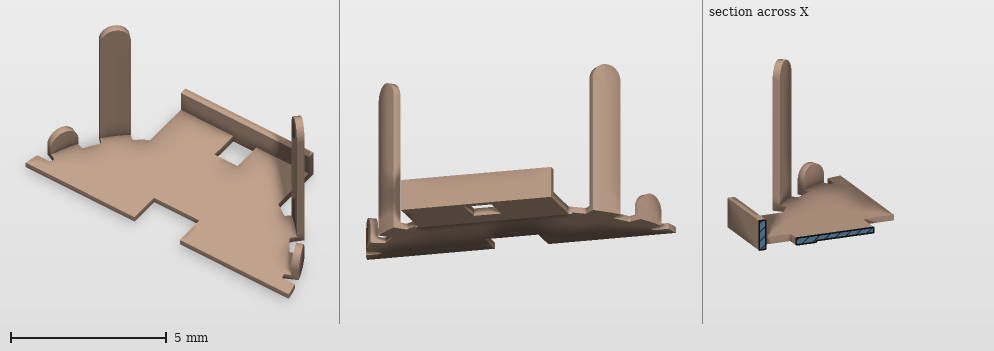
import cadquery as cq
import math

length = 10.34
depth = 5.1
height = 5.0
thin_sheet = 0.2
thick_sheet = 0.25
step = thick_sheet - thin_sheet
plate_top = thick_sheet

center_y = -0.88
outer_radius = math.hypot(length / 2, center_y)
root_radius = 4.76
tab_thickness = 0.25
tab_inner_radius = outer_radius - tab_thickness
root_fillet = 0.07

tab_width = 1.0
short_tab_angle = 25.0
short_tab_top = 1.0
tall_tab_angle = 45.0

foot_depth = 0.5
rear_width = 5.03
thick_start_y = 3.09
flange_height = 1.0
notch_width = 1.78
notch_depth = 1.09
window_width = 0.91
window_start_y = 3.8


def block(width, y_start, y_end, z_start, z_end):
    """Box centered on X between the given Y and Z limits."""
    size_y = y_end - y_start
    box = cq.Workplane("XY").box(width, size_y, z_end - z_start, centered=(True, False, False))
    return box.translate((0, y_start, z_start))


def disk(radius, z_start, z_end):
    """Disk about the common arc center."""
    return cq.Workplane("XY", origin=(0, center_y, z_start)).circle(radius).extrude(z_end - z_start)


def place_radially(body, angle):
    """Turn a body lying along +X to its angle and move it to the arc center."""
    return body.rotate((0, 0, 0), (0, 0, 1), angle).translate((0, center_y, 0))


def tab_neck(angle):
    """Flat strip joining the plate to an upright tab."""
    strip = cq.Workplane("XY", origin=(0, 0, step)).box(
        outer_radius, tab_width, thin_sheet, centered=(False, True, False)
    )
    return place_radially(strip, angle)


def upright_tab(angle, top):
    """Curved, round-topped tab standing on the outer arc."""
    half_width = tab_width / 2
    profile = (
        cq.Workplane("YZ")
        .moveTo(-half_width, step)
        .lineTo(half_width, step)
        .lineTo(half_width, top - half_width)
        .threePointArc((0, top), (-half_width, top - half_width))
        .close()
        .extrude(outer_radius)
    )
    ring = disk(outer_radius, step, top).cut(disk(tab_inner_radius, step, top))
    return place_radially(profile, angle).intersect(ring)


def is_root_corner(edge):
    """True for upright edges where a slot side meets the root arc."""
    middle = edge.Center()
    on_root = abs(math.hypot(middle.x, middle.y - center_y) - root_radius) < 0.001
    return on_root and abs(middle.x) > rear_width / 2 + root_fillet


tabs = []
for side_angle, tab_top in ((short_tab_angle, short_tab_top), (tall_tab_angle, height)):
    for tab_angle in (side_angle, 180 - side_angle):
        tabs.append((tab_angle, tab_top))

sheet = disk(root_radius, step, plate_top)
sheet = sheet.union(block(length, 0, foot_depth, step, plate_top))
for tab_angle, tab_top in tabs:
    sheet = sheet.union(tab_neck(tab_angle))
sheet = sheet.intersect(disk(outer_radius, step, plate_top))
sheet = sheet.intersect(block(length, 0, depth, step, plate_top))
sheet = sheet.union(block(rear_width, thick_start_y, depth, step, plate_top))
root_corners = [edge for edge in sheet.edges("|Z").vals() if is_root_corner(edge)]
sheet = sheet.newObject(root_corners).fillet(root_fillet)

rear = block(rear_width, thick_start_y, depth, 0, step)
arc_strip = disk(root_radius, 0, step).intersect(block(length, thick_start_y, depth, 0, step))
flange_start_y = depth - thick_sheet
flange = block(rear_width, flange_start_y, depth, 0, flange_height)
result = sheet.union(rear).union(arc_strip).union(flange)

result = result.cut(block(notch_width, 0, notch_depth, 0, plate_top))
result = result.cut(block(window_width, window_start_y, flange_start_y, 0, plate_top))

for tab_angle, tab_top in tabs:
    result = result.union(upright_tab(tab_angle, tab_top))